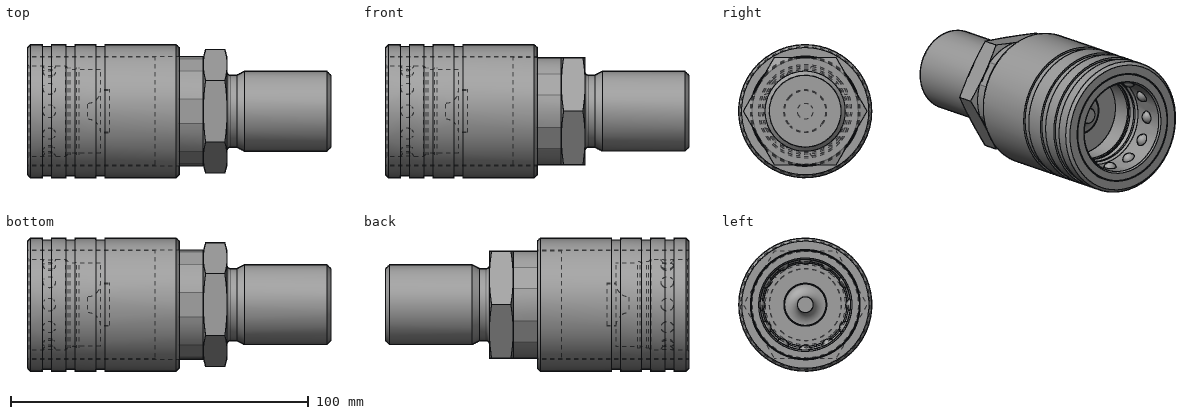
import cadquery as cq
import math


quarter_arc_inset = 1 - math.sqrt(0.5)

total_length = 102.0

sleeve_diameter = 44.8
sleeve_length = 51.0
sleeve_chamfer = 1.0
sleeve_bore_radius = 18.5
groove_width = 3.1
groove_depth = 0.6
groove_starts = [5.0, 13.0, 23.0]

sleeve_radius = sleeve_diameter / 2

hex_across_flats = 36.0
hex_width = 8.1
collar_visible_length = 8.1
collar_hidden_length = 8.2
hex_face_radius = 17.8
hex_chamfer_angle = 15.0
barrel_radius = 18.2

hex_corner_radius = hex_across_flats / math.sqrt(3)
collar_radius = sleeve_bore_radius
collar_start = sleeve_length - collar_hidden_length
hex_start = sleeve_length + collar_visible_length
hex_end = hex_start + hex_width

spigot_radius = 13.5
neck_radius = 12.1
neck_end = 70.4
neck_cone_end = 72.9
neck_fillet = 1.0
spigot_chamfer = 1.4

mouth_chamfer = 0.5
mouth_radius = 15.2
mouth_depth = 12.9
land_radius = 14.5
inner_radius = 14.0
seal_start = 14.4
seal_end = 16.5
seal_bulge = 0.5
land_end = 17.3
cavity_depth = 24.5

ball_count = 12
ball_radius = 2.2
ball_circle_radius = 15.8
ball_x = 7.3

poppet_radius = 6.9
poppet_tip_radius = 2.7
poppet_thickness = 3.1
poppet_clearance = 0.3

poppet_seat_radius = poppet_radius + poppet_clearance
poppet_seat_x = cavity_depth + poppet_thickness
poppet_flare_radius = poppet_radius - poppet_tip_radius


def revolve_about_x(profile):
    """Turn a closed (x, radius) profile a full turn about the X axis."""
    return profile.close().revolve(360, (0, 0, 0), (1, 0, 0))


def disc(x_start, x_end, radius):
    return cq.Workplane("YZ", origin=(x_start, 0, 0)).circle(radius).extrude(x_end - x_start)


def hex_prism(x_start, x_end):
    """Hexagonal bar with two corners on the Y axis."""
    bar = cq.Workplane("YZ", origin=(x_start, 0, 0)).polygon(6, 2 * hex_corner_radius)
    return bar.extrude(x_end - x_start)


def make_sleeve():
    sleeve = disc(0, sleeve_length, sleeve_radius).edges().chamfer(sleeve_chamfer)
    for start in groove_starts:
        band = disc(start, start + groove_width, sleeve_radius)
        sleeve = sleeve.cut(band.cut(disc(start, start + groove_width, sleeve_radius - groove_depth)))
    return sleeve.cut(disc(0, sleeve_length, sleeve_bore_radius))


def make_hexagon():
    """Hexagon with its corners trimmed by a cone at each end."""
    chamfer_length = (hex_corner_radius - hex_face_radius) * math.tan(math.radians(hex_chamfer_angle))
    envelope = revolve_about_x(
        cq.Workplane("XY")
        .moveTo(hex_start, 0)
        .lineTo(hex_start, hex_face_radius)
        .lineTo(hex_start + chamfer_length, hex_corner_radius)
        .lineTo(hex_end - chamfer_length, hex_corner_radius)
        .lineTo(hex_end, hex_face_radius)
        .lineTo(hex_end, 0)
    )
    return hex_prism(hex_start, hex_end).intersect(envelope)


def make_spigot():
    """Tail with a filleted neck behind the hexagon and a chamfered end."""
    fillet_middle = neck_fillet * quarter_arc_inset
    return revolve_about_x(
        cq.Workplane("XY")
        .moveTo(hex_end, 0)
        .lineTo(hex_end, neck_radius + neck_fillet)
        .threePointArc(
            (hex_end + fillet_middle, neck_radius + fillet_middle),
            (hex_end + neck_fillet, neck_radius),
        )
        .lineTo(neck_end, neck_radius)
        .lineTo(neck_cone_end, spigot_radius)
        .lineTo(total_length - spigot_chamfer, spigot_radius)
        .lineTo(total_length, spigot_radius - spigot_chamfer)
        .lineTo(total_length, 0)
    )


def make_cavity():
    """Stepped cavity with a rounded seal bead and a seat for the poppet."""
    return revolve_about_x(
        cq.Workplane("XY")
        .moveTo(0, 0)
        .lineTo(0, mouth_radius + mouth_chamfer)
        .lineTo(mouth_chamfer, mouth_radius)
        .lineTo(mouth_depth, mouth_radius)
        .lineTo(mouth_depth + mouth_radius - land_radius, land_radius)
        .lineTo(seal_start, land_radius)
        .threePointArc(
            ((seal_start + seal_end) / 2, land_radius - seal_bulge),
            (seal_end, land_radius),
        )
        .lineTo(land_end, land_radius)
        .lineTo(land_end, inner_radius)
        .lineTo(cavity_depth, inner_radius)
        .lineTo(cavity_depth, poppet_seat_radius)
        .lineTo(poppet_seat_x, poppet_seat_radius)
        .lineTo(poppet_seat_x, 0)
    )


def make_balls():
    """Ring of locking balls that stand proud of the mouth bore."""
    ball = cq.Workplane("XY").sphere(ball_radius).translate((ball_x, 0, ball_circle_radius))
    return [
        ball.rotate((0, 0, 0), (1, 0, 0), index * 360 / ball_count)
        for index in range(ball_count)
    ]


def make_socket_body():
    collar = disc(collar_start, hex_start, collar_radius).intersect(hex_prism(collar_start, hex_start))
    body = disc(0, collar_start, barrel_radius).union(collar)
    body = body.union(make_hexagon()).union(make_spigot()).cut(make_cavity())
    for ball in make_balls():
        body = body.union(ball)
    return body


def make_poppet():
    """Disc whose front face flares forward into a narrow flat tip."""
    flare_middle = poppet_flare_radius * quarter_arc_inset
    return revolve_about_x(
        cq.Workplane("XY")
        .moveTo(poppet_seat_x, 0)
        .lineTo(poppet_seat_x, poppet_radius)
        .lineTo(cavity_depth, poppet_radius)
        .threePointArc(
            (cavity_depth - flare_middle, poppet_tip_radius + flare_middle),
            (cavity_depth - poppet_flare_radius, poppet_tip_radius),
        )
        .lineTo(cavity_depth - poppet_flare_radius, 0)
    )


sleeve = make_sleeve()
socket_body = make_socket_body()
poppet = make_poppet()

result = cq.Compound.makeCompound([sleeve.val(), socket_body.val(), poppet.val()])